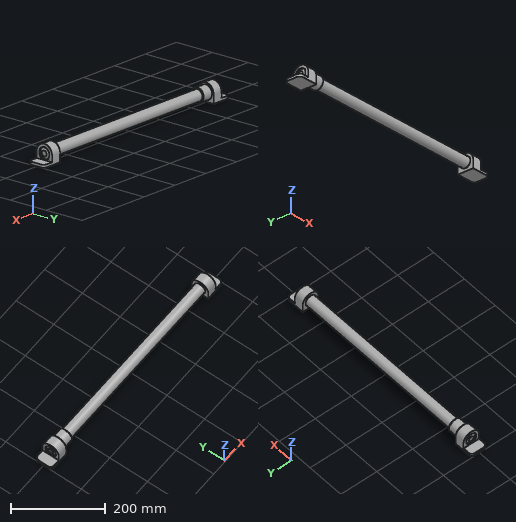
import cadquery as cq

length = 600.0
width = 44.0
height = 44.0

tab_length = 26.0
tab_thickness = 7.0
tab_corner_radius = 10.0
block_length = 26.0
axis_height = height - width / 2

rod_diameter = 28.0
rod_tip_diameter = 13.0
rod_taper_length = 4.0
sleeve_diameter = 35.0
sleeve_length = 27.0


def cylinder_along_x(diameter, start_x, cylinder_length):
    """Cylinder on the rod axis, running toward +X from start_x."""
    return (
        cq.Workplane("YZ", origin=(start_x, 0, axis_height))
        .circle(diameter / 2)
        .extrude(cylinder_length)
    )


def left_bracket():
    """Round-topped block with a rounded foot and a bore for the rod."""
    foot_length = tab_length + block_length
    foot = (
        cq.Workplane("XY", origin=(-length / 2, 0, 0))
        .box(foot_length, width, tab_thickness, centered=(False, True, False))
        .edges("|Z and <X")
        .fillet(tab_corner_radius)
    )
    block_start = -length / 2 + tab_length
    block = (
        cq.Workplane("YZ", origin=(block_start, 0, 0))
        .moveTo(-width / 2, 0)
        .lineTo(width / 2, 0)
        .lineTo(width / 2, axis_height)
        .threePointArc((0, height), (-width / 2, axis_height))
        .close()
        .extrude(block_length)
    )
    bore = cylinder_along_x(rod_diameter, block_start, block_length)
    return foot.union(block).cut(bore)


def rod():
    """Rod with tapered ends, flush with the outer faces of the blocks."""
    half_length = length / 2 - tab_length
    profile = [
        (0, 0),
        (0, rod_diameter / 2),
        (half_length - rod_taper_length, rod_diameter / 2),
        (half_length, rod_tip_diameter / 2),
        (half_length, 0),
    ]
    half_rod = (
        cq.Workplane("XZ", origin=(0, 0, axis_height))
        .polyline(profile)
        .close()
        .revolve(360, (0, 0), (1, 0))
    )
    return half_rod.union(half_rod.mirror("YZ"))


bracket = left_bracket()
sleeve_start = -length / 2 + tab_length + block_length
sleeve = cylinder_along_x(sleeve_diameter, sleeve_start, sleeve_length)

result = (
    bracket
    .union(bracket.mirror("YZ"))
    .union(sleeve)
    .union(rod())
)